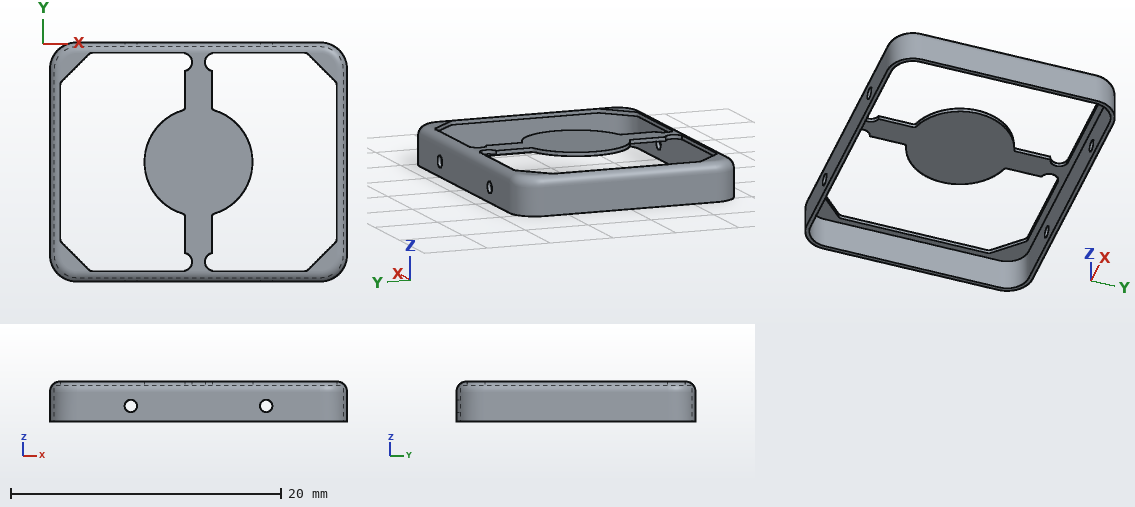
import cadquery as cq

length = 22.0
width = 17.7
height = 3.0
corner_radius = 2.0
top_fillet = 0.8

wall = 0.3
sheet = 0.3
lip = top_fillet
gusset_leg = 2.2
gusset_fillet = 0.4

disc_diameter = 8.0
arm_width = 2.0
root_fillet = 0.22
notch_radius = 0.65
notch_offset = 1.15
notch_inset = 0.68

hole_diameter = 0.9
hole_spacing = 10.0
hole_height = 1.17

opening_length = length - 2 * lip
opening_width = width - 2 * lip
sheet_bottom = height - sheet


def rounded_block(inset, depth):
    """Block with rounded vertical edges, inset evenly from the frame outline."""
    return (
        cq.Workplane("XY")
        .rect(length - 2 * inset, width - 2 * inset)
        .extrude(depth)
        .edges("|Z")
        .fillet(corner_radius - inset)
    )


def sheet_opening():
    """Window through the top sheet, chamfered and filleted to leave a gusset in each corner."""
    return (
        cq.Workplane("XY")
        .rect(opening_length, opening_width)
        .extrude(height)
        .edges("|Z")
        .chamfer(gusset_leg)
        .edges("|Z")
        .fillet(gusset_fillet)
    )


def disc_with_arms():
    """Central disc joined to the lip by two arms with notched necks."""
    notch_y = opening_width / 2 - notch_inset
    notch_centers = [(x, y) for x in (-notch_offset, notch_offset) for y in (-notch_y, notch_y)]
    sheet_plane = cq.Workplane("XY", origin=(0, 0, sheet_bottom))
    arms = sheet_plane.rect(arm_width, opening_width).extrude(sheet)
    disc = sheet_plane.circle(disc_diameter / 2).extrude(sheet)
    root_zone = cq.selectors.BoxSelector(
        (-arm_width, -disc_diameter / 2, 0), (arm_width, disc_diameter / 2, 2 * height)
    )
    spider = arms.union(disc).edges("|Z").edges(root_zone).fillet(root_fillet)
    notches = cq.Workplane("XY").pushPoints(notch_centers).circle(notch_radius).extrude(height)
    return spider.cut(notches)


def cross_holes():
    """Pair of holes running through both long walls."""
    return (
        cq.Workplane("XZ")
        .pushPoints([(-hole_spacing / 2, hole_height), (hole_spacing / 2, hole_height)])
        .circle(hole_diameter / 2)
        .extrude(width, both=True)
    )


frame = rounded_block(0, height).faces(">Z").edges().fillet(top_fillet)
frame = frame.cut(rounded_block(wall, sheet_bottom)).cut(sheet_opening())
result = frame.union(disc_with_arms()).cut(cross_holes())